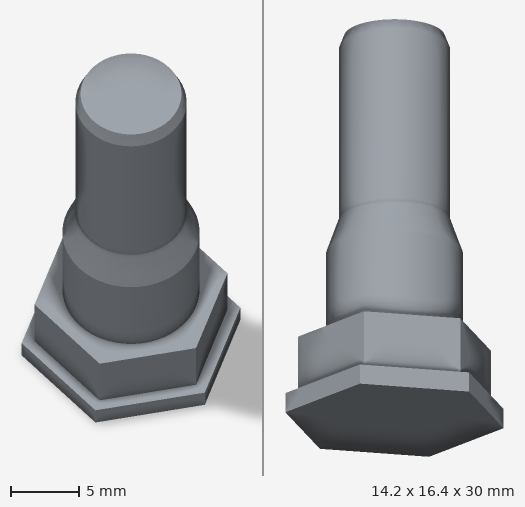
import cadquery as cq
import math

total_height = 30.0
flange_height = 1.5
hex_top = 6.0
collar_top = 13.0
taper_top = 15.7
tip_chamfer_height = 0.95

flange_across_flats = 14.2
hex_across_flats = 12.5

collar_diameter = 10.08
shank_diameter = 8.15
tip_diameter = 7.4


def hex_prism(across_flats, base_z, top_z):
    """Hexagonal prism with flats facing +/-X and corners on the Y axis."""
    corner_diameter = across_flats / math.cos(math.radians(30))
    return (
        cq.Workplane("XY")
        .polygon(6, corner_diameter)
        .extrude(top_z - base_z)
        .rotate((0, 0, 0), (0, 0, 1), 90)
        .translate((0, 0, base_z))
    )


def stepped_shaft():
    """Collar, taper, shank and chamfered tip revolved about Z."""
    collar_radius = collar_diameter / 2
    shank_radius = shank_diameter / 2
    return (
        cq.Workplane("XZ")
        .moveTo(0, hex_top)
        .lineTo(collar_radius, hex_top)
        .lineTo(collar_radius, collar_top)
        .lineTo(shank_radius, taper_top)
        .lineTo(shank_radius, total_height - tip_chamfer_height)
        .lineTo(tip_diameter / 2, total_height)
        .lineTo(0, total_height)
        .close()
        .revolve(360, (0, 0, 0), (0, 1, 0))
    )


flange = hex_prism(flange_across_flats, 0, flange_height)
hex_head = hex_prism(hex_across_flats, flange_height, hex_top)

result = flange.union(hex_head).union(stepped_shaft())